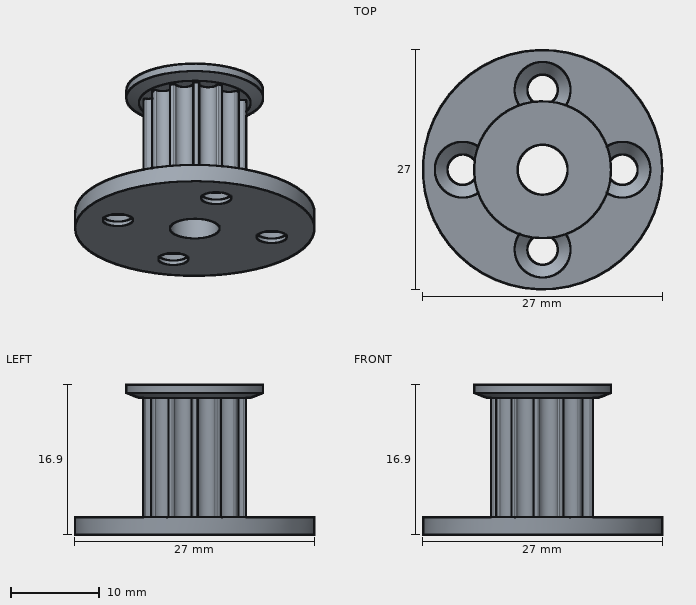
import cadquery as cq
import math

base_diameter = 27.0
base_thickness = 2.0

mount_hole_count = 4
mount_circle_radius = 9.0
mount_hole_diameter = 3.4
countersink_diameter = 6.3
countersink_angle = 90.0

tooth_count = 13
belt_pitch = 3.0
pitch_line_offset = 0.381
teeth_radius = tooth_count * belt_pitch / (2 * math.pi) - pitch_line_offset
groove_width = 2.41
groove_depth = 1.07
shoulder_radius = 0.2

total_height = 16.93
rim_diameter = 15.45
rim_thickness = 0.93
cone_height = 0.57
cone_base_diameter = 12.6

bore_diameter = 5.6

rim_bottom_z = total_height - rim_thickness
teeth_top_z = rim_bottom_z - cone_height


def make_base():
    """Round base flange with a ring of countersunk holes."""
    return (
        cq.Workplane("XY")
        .circle(base_diameter / 2)
        .extrude(base_thickness)
        .faces(">Z")
        .workplane()
        .polarArray(mount_circle_radius, 0, 360, mount_hole_count)
        .cskHole(mount_hole_diameter, countersink_diameter, countersink_angle)
    )


def make_groove():
    """Cutter for the groove on the +X side: a round floor running smoothly into rounded shoulders."""
    half_width = groove_width / 2
    mouth_x = math.sqrt(teeth_radius**2 - half_width**2)
    outside_x = teeth_radius + groove_depth

    centre_distance = (groove_depth**2 + half_width**2) / (2 * groove_depth)
    floor_radius = centre_distance - shoulder_radius
    floor_x = mouth_x - groove_depth
    floor_centre_x = floor_x + floor_radius
    shoulder_centre_x = mouth_x - shoulder_radius

    shoulder_end_angle = math.atan2(-half_width, floor_centre_x - shoulder_centre_x)
    shoulder_mid_angle = shoulder_end_angle / 2
    mid_x = shoulder_centre_x + shoulder_radius * math.cos(shoulder_mid_angle)
    mid_y = half_width + shoulder_radius * math.sin(shoulder_mid_angle)
    end_x = shoulder_centre_x + shoulder_radius * math.cos(shoulder_end_angle)
    end_y = half_width + shoulder_radius * math.sin(shoulder_end_angle)

    return (
        cq.Workplane("XY")
        .workplane(offset=base_thickness)
        .moveTo(outside_x, half_width)
        .lineTo(mouth_x, half_width)
        .threePointArc((mid_x, mid_y), (end_x, end_y))
        .threePointArc((floor_x, 0), (end_x, -end_y))
        .threePointArc((mid_x, -mid_y), (mouth_x, -half_width))
        .lineTo(outside_x, -half_width)
        .close()
        .extrude(teeth_top_z - base_thickness)
    )


def make_toothed_hub():
    """Cylinder with evenly spaced belt grooves, the first one on the +X axis."""
    hub = (
        cq.Workplane("XY")
        .workplane(offset=base_thickness)
        .circle(teeth_radius)
        .extrude(teeth_top_z - base_thickness)
    )
    groove = make_groove()
    for index in range(tooth_count):
        angle = index * 360 / tooth_count
        hub = hub.cut(groove.rotate((0, 0, 0), (0, 0, 1), angle))
    return hub


def make_retainer():
    """Flange above the teeth: a conical underside below a straight rim."""
    return (
        cq.Workplane("XZ")
        .moveTo(0, teeth_top_z)
        .lineTo(cone_base_diameter / 2, teeth_top_z)
        .lineTo(rim_diameter / 2, rim_bottom_z)
        .lineTo(rim_diameter / 2, total_height)
        .lineTo(0, total_height)
        .close()
        .revolve(360, (0, 0, 0), (0, 1, 0))
    )


bore = cq.Workplane("XY").circle(bore_diameter / 2).extrude(total_height)

result = make_base().union(make_toothed_hub()).union(make_retainer()).cut(bore)